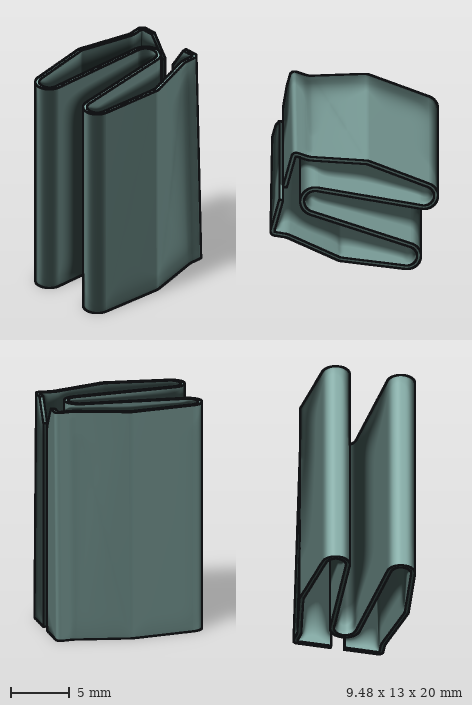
import cadquery as cq
import math

height = 20.0
depth = 13.0
bottom_width = 9.48
top_width = 9.35
thickness = 0.35
half_thickness = thickness / 2

corner_radius = 0.25
neck_radius = 1.6
elbow_radius = 0.8
lobe_radius = 1.05
crown_radius = 1.12

lip_gap = 1.2
neck_width = 6.2
corner_width = 6.35
splay = 0.55
neck_y = 11.6
elbow_y = 6.6
lobe_spacing = 5.68
crown_y = 11.28

lip_cut_width = 1.25
lip_cut_height = 2.0


def strip_bends(width, shift):
    """Bends along the strip as (x, y, signed radius); left turns are positive."""
    lip_y = depth - half_thickness
    left_bends = [
        (-lip_gap / 2, lip_y, 0.0),
        (-corner_width / 2 - shift + corner_radius, lip_y - corner_radius, corner_radius),
        (-neck_width / 2 - shift - neck_radius, neck_y, -neck_radius),
        (-width / 2 + half_thickness + elbow_radius, elbow_y, elbow_radius),
        (-lobe_spacing / 2, lobe_radius + half_thickness, lobe_radius),
    ]
    crown = (0.0, crown_y - half_thickness - crown_radius, -crown_radius)
    right_bends = [(-x, y, radius) for x, y, radius in reversed(left_bends)]
    return left_bends + [crown] + right_bends


def tangent_heading(first, second):
    """Heading of the straight run that leaves one bend and enters the next."""
    dx = second[0] - first[0]
    dy = second[1] - first[1]
    radius_step = second[2] - first[2]
    return math.atan2(dy, dx) - math.asin(radius_step / math.hypot(dx, dy))


def point_on_bend(bend, heading, offset):
    """Point where a path offset to the left of the strip middle has this heading."""
    x, y, radius = bend
    reach = radius - offset
    return (x + reach * math.sin(heading), y - reach * math.cos(heading))


def strip_edge(bends, offset):
    """One face of the strip: its start, then (arc start, middle, end) per bend, then its end."""
    headings = [tangent_heading(a, b) for a, b in zip(bends, bends[1:])]
    start = point_on_bend(bends[0], headings[0], offset)
    arcs = []
    for bend, heading_in, heading_out in zip(bends[1:-1], headings, headings[1:]):
        turn = math.remainder(heading_out - heading_in, 2 * math.pi)
        arcs.append([point_on_bend(bend, heading_in + turn * part, offset) for part in (0, 0.5, 1)])
    end = point_on_bend(bends[-1], headings[-1], offset)
    return start, arcs, end


def draw_profile(plane, bends):
    """Closed strip outline: along one face and back along the other."""
    left_start, left_arcs, left_end = strip_edge(bends, half_thickness)
    right_start, right_arcs, right_end = strip_edge(bends, -half_thickness)
    outline = plane.moveTo(*left_start)
    for entry, middle, leave in left_arcs:
        outline = outline.lineTo(*entry).threePointArc(middle, leave)
    outline = outline.lineTo(*left_end).lineTo(*right_end)
    for entry, middle, leave in reversed(right_arcs):
        outline = outline.lineTo(*leave).threePointArc(middle, entry)
    return outline.lineTo(*right_start).close()


def make_strip():
    """Ruled loft from the splayed bottom end to the narrower top end."""
    bottom = draw_profile(cq.Workplane("XY"), strip_bends(bottom_width, splay))
    both_ends = draw_profile(bottom.workplane(offset=height), strip_bends(top_width, 0.0))
    return both_ends.loft(ruled=True)


def make_lip_cutter():
    """Trapezoid above the sloped cuts of both lips, extruded through the lip thickness."""
    inner_x = lip_gap / 2
    outer_x = inner_x + lip_cut_width
    cut_z = height - lip_cut_height
    return (
        cq.Workplane("XZ", origin=(0, depth, 0))
        .polyline([(-outer_x, height), (-inner_x, cut_z), (inner_x, cut_z), (outer_x, height)])
        .close()
        .extrude(thickness)
    )


result = make_strip().cut(make_lip_cutter())